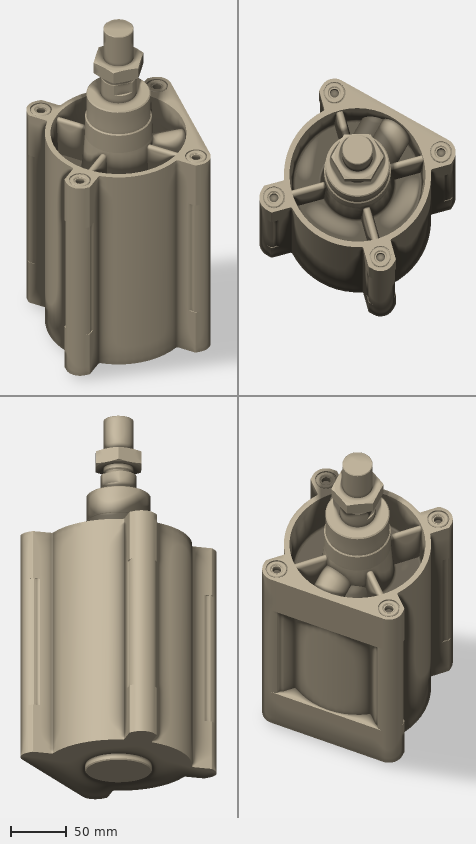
import cadquery as cq
import math


REAR_FACE = 5.7
FRONT_FACE = 216.7
COVER_LENGTH = 45.2
COLLAR_STEP = 237.2
COLLAR_TOP = 262.3
FLATS_START = 270.5
GROOVE_START = 281.5
GROOVE_END = 284.5
NUT_BOTTOM = 289.0
NUT_HEIGHT = 13.0
ROD_TOP = 335.0

BODY_RADIUS = 66.0
HALF_WIDTH = 68.0
LUG_OFFSET = 55.0
LUG_TIP_RADIUS = HALF_WIDTH - LUG_OFFSET
LUG_HALF_THICKNESS = 12.7
LUG_ROOT_FILLET = 1.7
LUG_EDGE_FILLET = 1.7
TOLERANCE = 0.05
LUG_ANGLES = (45, 135, 225, 315)
LUG_DISTANCE = LUG_OFFSET * math.sqrt(2)
FLAT_HALF_LENGTH = 50.2

NOTCH_DEPTH = 1.0
NOTCH_OUTER = 4.5
NOTCH_FLOOR = 1.0
NOTCH_INNER = -1.5

RECESS_FLOOR = 177.5
RECESS_TOP_RADIUS = 61.0
RECESS_FLOOR_RADIUS = 57.5
RECESS_FILLET = 2.0

COLLAR_DIAMETER = 60.0
COLLAR_NOSE_DIAMETER = 57.5
COLLAR_WAIST_DIAMETER = 57.0
COLLAR_ROOT_DIAMETER = 66.3
COLLAR_CHAMFER = 1.0

RIB_TOP = 213.5
RIB_TOP_WIDTH = 5.7
RIB_TOP_FILLET = 3.0
RIB_FLOOR_WIDTH = 11.5

PORT_BOSS_RADIUS = 15.5
PORT_BOSS_X = 8.0
PORT_BOSS_Z = 193.5
SCREW_BOSS_RADIUS = 15.5
SCREW_BOSS_X = -9.7
SCREW_BOSS_Z = 181.0

SCREW_HEAD_DIAMETER = 18.0
SCREW_SEAT_DIAMETER = 19.8
SCREW_GAP_DEPTH = 1.7
SCREW_HEAD_CHAMFER = 0.7
SOCKET_DIAMETER = 10.0
SOCKET_DEPTH = 6.7
SOCKET_CHAMFER = 1.0
SOCKET_STEP_DEPTH = 1.5
SOCKET_BORE_DIAMETER = 8.0

ROD_DIAMETER = 32.0
THREAD_DIAMETER = 27.0
GROOVE_DIAMETER = 24.8
GROOVE_FLARE_HEIGHT = 2.0
WRENCH_WIDTH = 27.0
ROD_CHAMFER = 0.7
NUT_WIDTH = 41.0
NUT_CHAMFER_ANGLE = 15

BARREL_BOTTOM = REAR_FACE + COVER_LENGTH
BARREL_TOP = FRONT_FACE - COVER_LENGTH


def cylinder(diameter, bottom, top):
    return cq.Workplane("XY").workplane(offset=bottom).circle(diameter / 2).extrude(top - bottom)


def at_every_lug(shape):
    """Copies of a shape built on the +X axis, turned to the four lugs."""
    return [shape.rotate((0, 0, 0), (0, 0, 1), angle) for angle in LUG_ANGLES]


def round_body(height):
    """Round part of a housing section, with its seam turned inside a lug."""
    return cylinder(2 * BODY_RADIUS, 0, height).rotate((0, 0, 0), (0, 0, 1), LUG_ANGLES[0])


def cover_lug(height):
    """Square-cornered lug with a rounded tip, pointing along +X."""
    half = LUG_HALF_THICKNESS
    tip_side = LUG_TIP_RADIUS / math.sqrt(2)
    side_end = HALF_WIDTH * math.sqrt(2) - half
    lug = (
        cq.Workplane("XY")
        .moveTo(0, -half)
        .lineTo(side_end, -half)
        .lineTo(LUG_DISTANCE + tip_side, -tip_side)
        .threePointArc((LUG_DISTANCE + LUG_TIP_RADIUS, 0), (LUG_DISTANCE + tip_side, tip_side))
        .lineTo(side_end, half)
        .lineTo(0, half)
        .close()
        .extrude(height)
    )
    side_corners = [(side_end, -half, height / 2), (side_end, half, height / 2)]
    for corner in side_corners:
        lug = lug.edges(cq.selectors.NearestToPointSelector(corner)).fillet(LUG_EDGE_FILLET)
    return lug


def barrel_lug(height):
    """Lug with a bulb-shaped tip and a notch behind the bulb, pointing along +X."""
    half = LUG_HALF_THICKNESS
    bulb_side = math.sqrt(LUG_TIP_RADIUS**2 - NOTCH_OUTER**2)
    notch_side = half - NOTCH_DEPTH
    return (
        cq.Workplane("XY")
        .moveTo(0, -half)
        .lineTo(LUG_DISTANCE + NOTCH_INNER, -half)
        .lineTo(LUG_DISTANCE + NOTCH_FLOOR, -notch_side)
        .lineTo(LUG_DISTANCE + NOTCH_OUTER, -bulb_side)
        .threePointArc((LUG_DISTANCE + LUG_TIP_RADIUS, 0), (LUG_DISTANCE + NOTCH_OUTER, bulb_side))
        .lineTo(LUG_DISTANCE + NOTCH_FLOOR, notch_side)
        .lineTo(LUG_DISTANCE + NOTCH_INNER, half)
        .lineTo(0, half)
        .close()
        .extrude(height)
    )


def fillet_lug_roots(section):
    """Round the inside corners where the lugs leave the round body."""
    corners = []
    for edge in section.edges("|Z").vals():
        center = edge.Center()
        if math.isclose(math.hypot(center.x, center.y), BODY_RADIUS, abs_tol=TOLERANCE):
            corners.append(edge)
    return section.newObject(corners).fillet(LUG_ROOT_FILLET)


def cover(bottom):
    section = round_body(COVER_LENGTH)
    for lug in at_every_lug(cover_lug(COVER_LENGTH)):
        section = section.union(lug)
    flat_side = cq.Workplane("XY").box(
        2 * FLAT_HALF_LENGTH, HALF_WIDTH, COVER_LENGTH, centered=(True, False, False)
    )
    return fillet_lug_roots(section.union(flat_side)).translate((0, 0, bottom))


def barrel():
    height = BARREL_TOP - BARREL_BOTTOM
    section = round_body(height)
    for lug in at_every_lug(barrel_lug(height)):
        section = section.union(lug)
    return fillet_lug_roots(section).translate((0, 0, BARREL_BOTTOM))


def recess():
    """Ring-shaped recess between the tapered cover wall and the tapered foot of the collar."""
    profile = (
        cq.Workplane("XZ")
        .moveTo(COLLAR_ROOT_DIAMETER / 2, RECESS_FLOOR)
        .lineTo(RECESS_FLOOR_RADIUS, RECESS_FLOOR)
        .lineTo(RECESS_TOP_RADIUS, FRONT_FACE)
        .lineTo(COLLAR_DIAMETER / 2, FRONT_FACE)
        .close()
    )
    return profile.revolve(360, (0, 0, 0), (0, 1, 0)).faces("<Z").edges().fillet(RECESS_FILLET)


def collar():
    """Part of the collar in front of the cover, with a slightly waisted nose."""
    radius = COLLAR_DIAMETER / 2
    nose_radius = COLLAR_NOSE_DIAMETER / 2
    nose_end = COLLAR_TOP - COLLAR_CHAMFER
    return (
        cq.Workplane("XZ")
        .moveTo(0, FRONT_FACE)
        .lineTo(radius, FRONT_FACE)
        .lineTo(radius, COLLAR_STEP - COLLAR_CHAMFER)
        .lineTo(radius - COLLAR_CHAMFER, COLLAR_STEP)
        .lineTo(nose_radius, COLLAR_STEP)
        .threePointArc((COLLAR_WAIST_DIAMETER / 2, (COLLAR_STEP + nose_end) / 2), (nose_radius, nose_end))
        .lineTo(nose_radius - COLLAR_CHAMFER, COLLAR_TOP)
        .lineTo(0, COLLAR_TOP)
        .close()
        .revolve(360, (0, 0, 0), (0, 1, 0))
    )


def rib():
    """Tapered rib along +X from the axis to the recess wall."""
    return (
        cq.Workplane("YZ")
        .moveTo(-RIB_FLOOR_WIDTH / 2, RECESS_FLOOR)
        .lineTo(RIB_FLOOR_WIDTH / 2, RECESS_FLOOR)
        .lineTo(RIB_TOP_WIDTH / 2, RIB_TOP)
        .lineTo(-RIB_TOP_WIDTH / 2, RIB_TOP)
        .close()
        .extrude(RECESS_TOP_RADIUS)
        .faces(">Z").edges("|X").fillet(RIB_TOP_FILLET)
    )


def side_boss(x, z, radius):
    return cq.Workplane("XZ").center(x, z).circle(radius).extrude(-RECESS_TOP_RADIUS)


def screw_recess():
    """Gap around a chamfered screw head and the stepped socket in it, on the +X axis."""
    head_radius = SCREW_HEAD_DIAMETER / 2
    seat_radius = SCREW_SEAT_DIAMETER / 2
    socket_radius = SOCKET_DIAMETER / 2
    gap = (
        cq.Workplane("XZ")
        .moveTo(seat_radius, 0)
        .lineTo(seat_radius, -SCREW_GAP_DEPTH)
        .lineTo(head_radius, -SCREW_GAP_DEPTH)
        .lineTo(head_radius, -SCREW_HEAD_CHAMFER)
        .lineTo(head_radius - SCREW_HEAD_CHAMFER, 0)
        .close()
        .revolve(360, (0, 0, 0), (0, 1, 0))
    )
    socket = (
        cq.Workplane("XZ")
        .lineTo(0, -SOCKET_DEPTH)
        .lineTo(SOCKET_BORE_DIAMETER / 2, -SOCKET_DEPTH)
        .lineTo(SOCKET_BORE_DIAMETER / 2, -SOCKET_STEP_DEPTH)
        .lineTo(socket_radius, -SOCKET_STEP_DEPTH)
        .lineTo(socket_radius, -SOCKET_CHAMFER)
        .lineTo(socket_radius + SOCKET_CHAMFER, 0)
        .close()
        .revolve(360, (0, 0, 0), (0, 1, 0))
    )
    return gap.add(socket).combine().translate((LUG_DISTANCE, 0, FRONT_FACE))


def build_housing():
    body = barrel().union(cover(REAR_FACE)).union(cover(BARREL_TOP))
    rear_boss = cylinder(COLLAR_DIAMETER, 0, REAR_FACE).faces("<Z").edges().chamfer(COLLAR_CHAMFER)
    body = body.union(rear_boss)

    front_recess = recess()
    body = body.cut(front_recess).union(collar())
    port_boss = side_boss(PORT_BOSS_X, PORT_BOSS_Z, PORT_BOSS_RADIUS)
    screw_boss = side_boss(SCREW_BOSS_X, SCREW_BOSS_Z, SCREW_BOSS_RADIUS)
    for shape in (*at_every_lug(rib()), port_boss, screw_boss):
        body = body.union(shape.intersect(front_recess))

    for one_recess in at_every_lug(screw_recess()):
        body = body.cut(one_recess)
    return body.cut(cylinder(ROD_DIAMETER, RECESS_FLOOR, COLLAR_TOP))


def build_rod():
    rod = cylinder(ROD_DIAMETER, RECESS_FLOOR, FLATS_START)
    flats_block = (
        cq.Workplane("XY")
        .workplane(offset=FLATS_START)
        .rect(WRENCH_WIDTH, ROD_DIAMETER)
        .extrude(GROOVE_START - FLATS_START)
    )
    wrench_flats = cylinder(ROD_DIAMETER, FLATS_START, GROOVE_START).intersect(flats_block)
    groove = cylinder(GROOVE_DIAMETER, GROOVE_START, GROOVE_END)
    groove_flare = (
        cq.Workplane("XY")
        .workplane(offset=GROOVE_START)
        .circle(THREAD_DIAMETER / 2)
        .workplane(offset=GROOVE_FLARE_HEIGHT)
        .circle(GROOVE_DIAMETER / 2)
        .loft()
    )
    thread_chamfer = (THREAD_DIAMETER - GROOVE_DIAMETER) / 2
    thread = (
        cylinder(THREAD_DIAMETER, GROOVE_END, ROD_TOP)
        .faces("<Z").edges().chamfer(thread_chamfer)
        .faces(">Z").edges().chamfer(ROD_CHAMFER)
    )
    return rod.union(wrench_flats).union(groove).union(groove_flare).union(thread)


def build_nut():
    corner_radius = NUT_WIDTH / math.sqrt(3)
    flat_radius = NUT_WIDTH / 2
    drop = (corner_radius - flat_radius) * math.tan(math.radians(NUT_CHAMFER_ANGLE))
    hexagon = (
        cq.Workplane("XY")
        .polygon(6, 2 * corner_radius)
        .extrude(NUT_HEIGHT)
        .rotate((0, 0, 0), (0, 0, 1), 90)
    )
    chamfer_envelope = (
        cq.Workplane("XZ")
        .lineTo(flat_radius, 0)
        .lineTo(corner_radius, drop)
        .lineTo(corner_radius, NUT_HEIGHT - drop)
        .lineTo(flat_radius, NUT_HEIGHT)
        .lineTo(0, NUT_HEIGHT)
        .close()
        .revolve(360, (0, 0, 0), (0, 1, 0))
    )
    nut = hexagon.intersect(chamfer_envelope).translate((0, 0, NUT_BOTTOM))
    return nut.cut(cylinder(THREAD_DIAMETER, NUT_BOTTOM, NUT_BOTTOM + NUT_HEIGHT))


housing = build_housing()
rod = build_rod()
nut = build_nut()

result = cq.Compound.makeCompound([housing.val(), rod.val(), nut.val()])